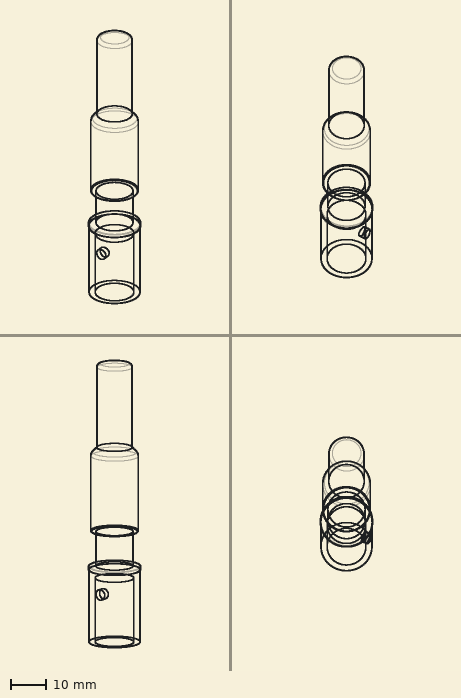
import cadquery as cq

total_length = 80.9
pin_diameter = 10.0
body_diameter = 13.5
neck_diameter = 10.5
collar_diameter = 14.8
socket_diameter = 14.5

body_top = 56.55
body_bottom = 32.1
collar_top = 22.1
collar_bottom = 21.0

tip_fillet = 1.0
shoulder_fillet = 1.5
body_bottom_chamfer = 0.25
collar_fillet = 0.2

bore_diameter = 11.0
bore_depth = 18.6

hole_diameter = 3.0
hole_height = 15.05


def section(diameter, bottom, top):
    """Cylinder on the Z axis between two heights."""
    return cq.Workplane("XY").workplane(offset=bottom).circle(diameter / 2).extrude(top - bottom)


def make_pin():
    return section(pin_diameter, body_top, total_length).faces(">Z").edges().fillet(tip_fillet)


def make_body():
    """Cylinder whose conical shoulder narrows to the pin and blends into the side."""
    shoulder_width = (body_diameter - pin_diameter) / 2
    shoulder_base = body_top - shoulder_width
    body = section(body_diameter, body_bottom, body_top)
    body = body.faces("<Z").edges().chamfer(body_bottom_chamfer)
    body = body.faces(">Z").edges().chamfer(shoulder_width)
    shoulder_edge = cq.selectors.BoxSelector(
        (-body_diameter, -body_diameter, shoulder_base - shoulder_width / 2),
        (body_diameter, body_diameter, shoulder_base + shoulder_width / 2),
    )
    return body.edges("%CIRCLE").edges(shoulder_edge).fillet(shoulder_fillet)


def make_collar():
    return section(collar_diameter, collar_bottom, collar_top).faces(">Z").edges().fillet(collar_fillet)


def make_inspection_hole():
    """Cutter running from the axis out through the -Y wall of the socket."""
    return (
        cq.Workplane("XZ", origin=(0, 0, hole_height))
        .circle(hole_diameter / 2)
        .extrude(socket_diameter)
    )


socket = section(socket_diameter, 0, collar_bottom)
neck = section(neck_diameter, collar_top, body_bottom)

result = socket.union(make_collar()).union(neck).union(make_body()).union(make_pin())
result = result.cut(section(bore_diameter, 0, bore_depth))
result = result.cut(make_inspection_hole())